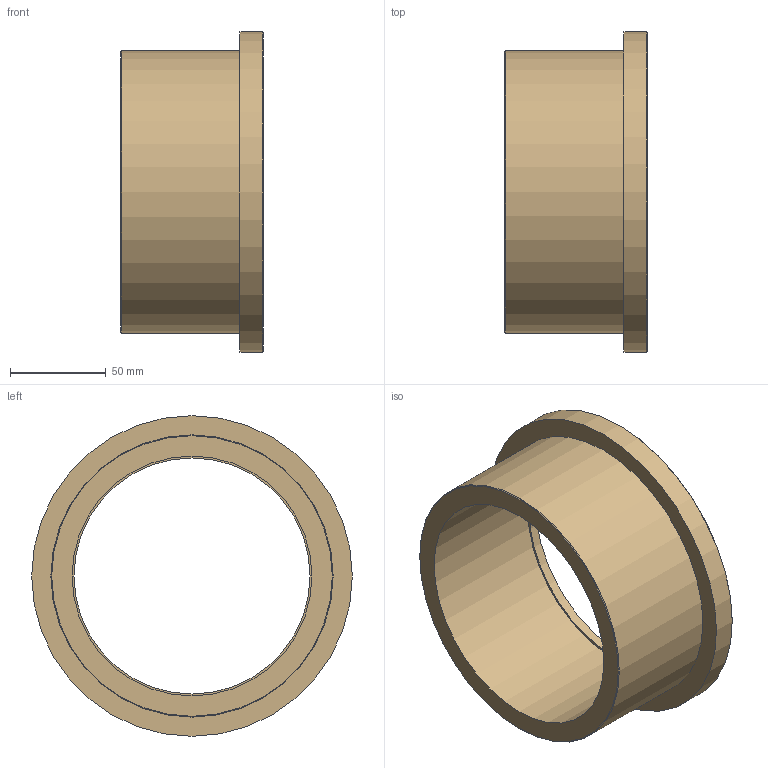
import cadquery as cq

total_length = 74.0
flange_thickness = 12.0
flange_diameter = 167.0
barrel_diameter = 147.0
bore_diameter = 125.0
lip_bore_diameter = 123.0
lip_length = 5.0
edge_chamfer = 0.4

barrel_end_x = -total_length / 2
flange_end_x = total_length / 2
barrel_length = total_length - flange_thickness


def disc(start_x, diameter, length):
    """Solid cylinder on the X axis, running from start_x toward +X."""
    return cq.Workplane("YZ", origin=(start_x, 0, 0)).circle(diameter / 2).extrude(length)


def make_body():
    """Barrel and flange, with their free outer edges chamfered."""
    barrel = disc(barrel_end_x, barrel_diameter, barrel_length)
    barrel = barrel.faces("<X").edges().chamfer(edge_chamfer)
    flange = disc(barrel_end_x + barrel_length, flange_diameter, flange_thickness)
    flange = flange.faces(">X").edges().chamfer(edge_chamfer)
    return barrel.union(flange)


def make_bore():
    """Main bore from the barrel end, stepping down to the lip bore at the flange end."""
    main_bore = disc(barrel_end_x, bore_diameter, total_length - lip_length)
    lip_bore = disc(flange_end_x - lip_length, lip_bore_diameter, lip_length)
    return main_bore.union(lip_bore)


result = make_body().cut(make_bore())